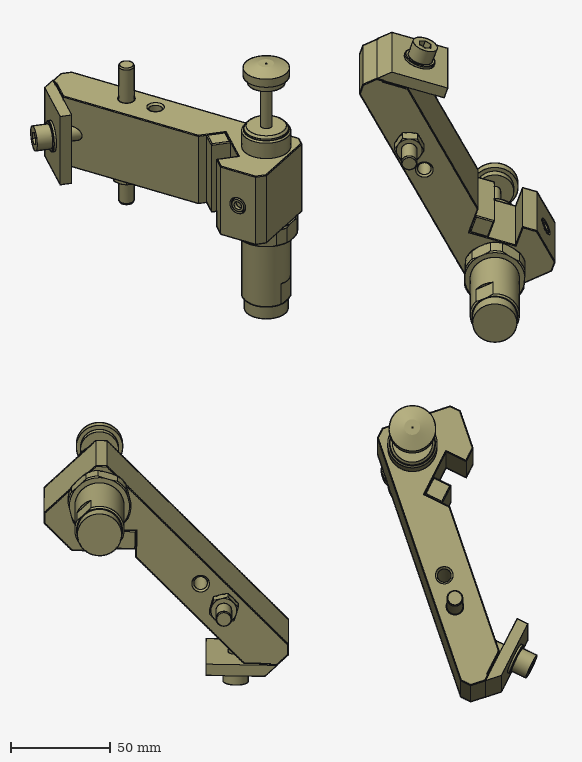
import cadquery as cq
import math

ROOT2 = math.sqrt(2)

arm_height = 40.0
arm_left = -125.5
arm_right = 14.3
arm_back = 15.2
bar_front = -8.2
foot_front = -28.9
corner_chamfer = 4.0
edge_chamfer = 0.5
mid_height = arm_height / 2

notch_apex_x = -24.7
notch_apex_y = 1.9
notch_long_wall = 24.5
foot_lip = 11.3

seat_corner_y = 3.3
seat_step = 0.6
seat_lip = 3.9
plate_length = 35.8
plate_thickness = 6.0

screw_along = 20.6
screw_radius = 4.0
screw_length = 30.0
washer_radius = 8.0
washer_thickness = 1.6
washer_chamfer = 0.5
head_radius = 6.5
head_height = 8.0
head_socket_flats = 6.0
head_socket_depth = 4.0

stud_x = -84.4
stud_y = 5.7
stud_radius = 4.0
stud_bottom = -20.0
stud_length = 80.1
stud_end_chamfer = 0.5
stud_end_length = 1.0
stud_nut_flats = 13.0
stud_nut_height = 6.6
spare_hole_x = -67.5
spare_hole_radius = 3.5
hole_mouth_radius = 4.5

nut_corner_angle = 30

set_screw_mouth_radius = 4.6
set_screw_radius = 4.0
set_screw_tip_radius = 3.5
set_screw_socket_radius = 2.1
set_screw_socket_depth = 2.1

square_side = 10.0
square_chamfer = 0.6

absorber_radius = 12.5
absorber_end_chamfer = 0.9
absorber_shoulder_top = 49.9
absorber_shoulder_bottom = -47.5
cap_radius = 11.3
cap_rim_radius = 10.2
cap_chamfer_bottom = 50.8
cap_top = 52.0
tail_radius = 11.2
tail_bottom = -54.6
flat_distance = 11.5
flat_top = -34.9
rod_radius = 3.0
knob_bottom = 77.5
knob_neck_radius = 9.6
knob_rim_bottom = 81.4
knob_rim_top = 86.1
knob_rim_radius = 11.7
knob_top = 88.4
knob_crown_radius = 4.0
knob_center_radius = 0.3
knob_center_depth = 0.7
lock_nut_flats = 30.0
lock_nut_radius = 15.9
lock_nut_height = 10.0
lock_nut_chamfer = 0.7


def seat_point(along, out):
    """XY of a point on the slanted seat: `along` it to the right, `out` of the arm."""
    return (
        arm_left + (along - out) / ROOT2,
        seat_corner_y - (along + out) / ROOT2,
    )


def disc(radius, bottom, height):
    return cq.Workplane("XY").workplane(offset=bottom).circle(radius).extrude(height)


def hex_prism(flats, bottom, height):
    """Hexagon with two corners on the X axis."""
    corner_diameter = flats * 2 / math.sqrt(3)
    return cq.Workplane("XY").workplane(offset=bottom).polygon(6, corner_diameter).extrude(height)


def on_clamp_axis(shape):
    """Lay a shape built along +Z onto the clamp axis: Z = 0 at the seat and +Z out of the arm."""
    x, y = seat_point(screw_along, 0)
    plane = cq.Plane(origin=(x, y, mid_height), xDir=(0, 0, 1), normal=(-1, -1, 0))
    return cq.Workplane(shape.val().moved(plane.location))


def arm_outline():
    recess_corner_along = (seat_corner_y - bar_front) * ROOT2 + seat_step
    long_wall_end_x = notch_apex_x + notch_long_wall / ROOT2
    long_wall_end_y = notch_apex_y - notch_long_wall / ROOT2
    toe_x = long_wall_end_x - foot_lip / ROOT2
    toe_y = long_wall_end_y - foot_lip / ROOT2
    toe_chamfer_run = toe_y - foot_front
    return [
        (arm_left, seat_corner_y),
        seat_point(seat_lip, 0),
        seat_point(seat_lip, -seat_step),
        seat_point(recess_corner_along, -seat_step),
        (notch_apex_x - (notch_apex_y - bar_front), bar_front),
        (notch_apex_x, notch_apex_y),
        (long_wall_end_x, long_wall_end_y),
        (toe_x, toe_y),
        (toe_x + toe_chamfer_run, foot_front),
        (arm_right - corner_chamfer, foot_front),
        (arm_right, foot_front + corner_chamfer),
        (arm_right, arm_back - corner_chamfer),
        (arm_right - corner_chamfer, arm_back),
        (arm_left + corner_chamfer, arm_back),
        (arm_left, arm_back - corner_chamfer),
    ]


def threaded_hole(x, y, radius):
    """Through-hole along Z with a 45-degree countersink at both ends."""
    depth = hole_mouth_radius - radius
    profile = [
        (0, 0),
        (hole_mouth_radius, 0),
        (radius, depth),
        (radius, arm_height - depth),
        (hole_mouth_radius, arm_height),
        (0, arm_height),
    ]
    cutter = cq.Workplane("XZ").polyline(profile).close().revolve(360, (0, 0), (0, 1))
    return cutter.translate((x, y, 0))


def set_screw_recess():
    """V-shaped ring between the screw and its hole, and the round socket in the screw."""
    groove_depth = set_screw_mouth_radius - set_screw_radius
    ring = [
        (set_screw_mouth_radius, 0),
        (set_screw_radius, groove_depth),
        (set_screw_tip_radius, 0),
    ]
    groove = cq.Workplane("XZ").polyline(ring).close().revolve(360, (0, 0), (0, 1))
    cutter = groove.union(disc(set_screw_socket_radius, 0, set_screw_socket_depth))
    return cutter.rotate((0, 0, 0), (1, 0, 0), -90).translate((0, foot_front, mid_height))


def make_arm():
    arm = cq.Workplane("XY").polyline(arm_outline()).close().extrude(arm_height)
    arm = arm.faces("<Z or >Z").chamfer(edge_chamfer)
    arm = arm.cut(disc(absorber_radius, 0, arm_height))
    arm = arm.cut(threaded_hole(stud_x, stud_y, stud_radius))
    arm = arm.cut(threaded_hole(spare_hole_x, stud_y, spare_hole_radius))
    arm = arm.cut(clamp_screw_shank())
    return arm.cut(set_screw_recess())


def make_clamp_plate():
    left_edge_y = seat_corner_y - plate_thickness * ROOT2
    outline = [
        (arm_left, seat_corner_y),
        seat_point(plate_length, 0),
        seat_point(plate_length, plate_thickness),
        (arm_left, left_edge_y),
    ]
    plate = cq.Workplane("XY").polyline(outline).close().extrude(arm_height)
    return plate.cut(clamp_screw_shank())


def clamp_screw_shank():
    return on_clamp_axis(disc(screw_radius, plate_thickness - screw_length, screw_length))


def make_clamp_screw():
    washer = disc(washer_radius, plate_thickness, washer_thickness).faces(">Z").chamfer(washer_chamfer)
    head_bottom = plate_thickness + washer_thickness
    head = disc(head_radius, head_bottom, head_height)
    socket_bottom = head_bottom + head_height - head_socket_depth
    head = head.cut(hex_prism(head_socket_flats, socket_bottom, head_socket_depth))
    return clamp_screw_shank().union(on_clamp_axis(washer.union(head)))


def chamfered_nut(flats, bottom, height):
    """Hexagon nut whose corners are turned off at a slant down to its flats."""
    corner_radius = flats / math.sqrt(3)
    drop = (corner_radius - flats / 2) * math.tan(math.radians(nut_corner_angle))
    profile = [
        (0, 0),
        (flats / 2, 0),
        (corner_radius, drop),
        (corner_radius, height - drop),
        (flats / 2, height),
        (0, height),
    ]
    turned = cq.Workplane("XZ").polyline(profile).close().revolve(360, (0, 0), (0, 1))
    return hex_prism(flats, bottom, height).intersect(turned.translate((0, 0, bottom)))


def make_stud():
    """Threaded rod with its nut against the underside of the arm."""
    stud = disc(stud_radius, stud_bottom, stud_length)
    stud = stud.faces("<Z or >Z").chamfer(stud_end_length, stud_end_chamfer)
    stud = stud.union(chamfered_nut(stud_nut_flats, -stud_nut_height, stud_nut_height))
    return stud.translate((stud_x, stud_y, 0))


def make_square_bar():
    bar = cq.Workplane("XY").rect(square_side, square_side).extrude(arm_height)
    bar = bar.faces("<Z or >Z").chamfer(square_chamfer)
    bar = bar.rotate((0, 0, 0), (0, 0, 1), 45)
    return bar.translate((notch_apex_x, notch_apex_y - square_side / ROOT2, 0))


def lock_nut():
    """Hexagon nut with two corners on the Y axis, turned down to a round at the corners."""
    turned = disc(lock_nut_radius, -lock_nut_height, lock_nut_height)
    turned = turned.faces("<Z or >Z").chamfer(lock_nut_chamfer)
    nut = hex_prism(lock_nut_flats, -lock_nut_height, lock_nut_height)
    return nut.rotate((0, 0, 0), (0, 0, 1), 90).intersect(turned)


def make_absorber():
    """Cylinder, rod and knob with the lock nut under the arm."""
    profile = [
        (0, tail_bottom),
        (tail_radius, tail_bottom),
        (tail_radius, absorber_shoulder_bottom),
        (absorber_radius - absorber_end_chamfer, absorber_shoulder_bottom),
        (absorber_radius, absorber_shoulder_bottom + absorber_end_chamfer),
        (absorber_radius, absorber_shoulder_top - absorber_end_chamfer),
        (absorber_radius - absorber_end_chamfer, absorber_shoulder_top),
        (cap_radius, absorber_shoulder_top),
        (cap_radius, cap_chamfer_bottom),
        (cap_rim_radius, cap_top),
        (rod_radius, cap_top),
        (rod_radius, knob_bottom),
        (knob_neck_radius, knob_bottom),
        (knob_neck_radius, knob_rim_bottom),
        (knob_rim_radius, knob_rim_bottom),
        (knob_rim_radius, knob_rim_top),
        (knob_crown_radius, knob_top),
        (knob_center_radius, knob_top),
        (knob_center_radius, knob_top - knob_center_depth),
        (0, knob_top - knob_center_depth),
    ]
    absorber = cq.Workplane("XZ").polyline(profile).close().revolve(360, (0, 0), (0, 1))
    flat_height = flat_top - absorber_shoulder_bottom
    flat_cutter = cq.Workplane("XY").box(
        absorber_radius, 2 * absorber_radius, flat_height, centered=(False, True, False)
    )
    flat_cutter = flat_cutter.translate((flat_distance, 0, absorber_shoulder_bottom))
    for angle in (0, 180):
        absorber = absorber.cut(flat_cutter.rotate((0, 0, 0), (0, 0, 1), angle))
    return absorber.union(lock_nut())


arm = make_arm()
clamp_plate = make_clamp_plate()
clamp_screw = make_clamp_screw()
stud = make_stud()
square_bar = make_square_bar()
absorber = make_absorber()

result = cq.Compound.makeCompound(
    [
        arm.val(),
        clamp_plate.val(),
        clamp_screw.val(),
        stud.val(),
        square_bar.val(),
        absorber.val(),
    ]
)